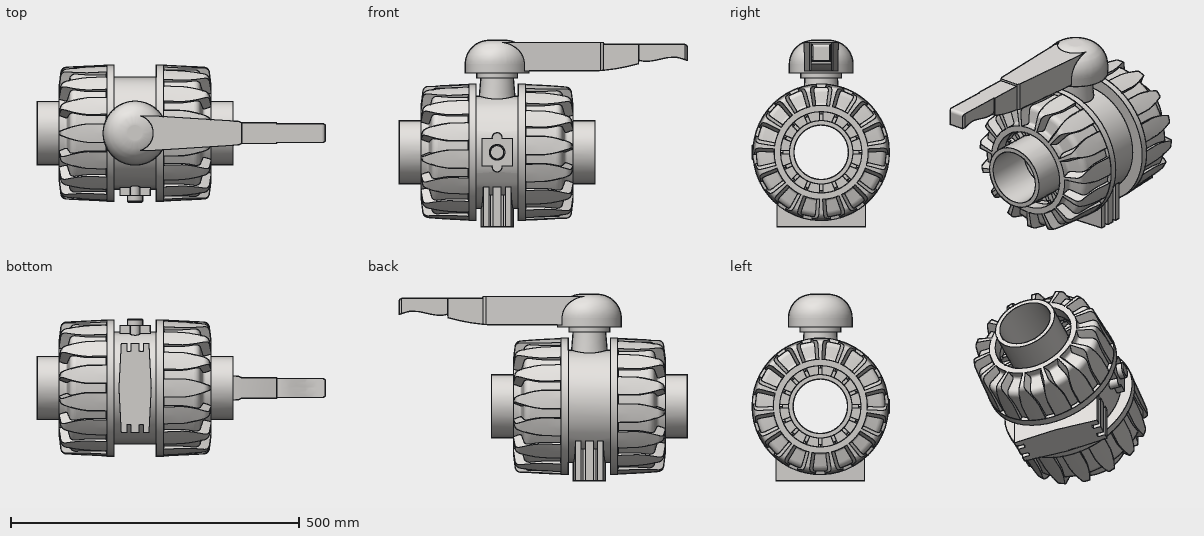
import cadquery as cq
import math


BORE_RADIUS = 47.0
PIPE_RADIUS = 55.0
PIPE_END = 170.0

BODY_RADIUS = 97.5
BODY_HALF_LENGTH = 85.0
NECK_TOP_RADIUS = 28.5
NECK_FOOT_RADIUS = 32.0
NECK_FOOT_Z = 85.0
COLLAR_RADIUS = 35.5
COLLAR_BOTTOM_Z = 128.5
COLLAR_TOP_Z = 137.5

PAD_HALF_WIDTH = 26.5
PAD_HALF_HEIGHT = 23.5
PAD_FACE_Y = -108.5
LUG_RADIUS = 8.5
LUG_CENTER_Z = 25.5
PIN_RADIUS = 13.5
PIN_END_Y = -120.0
PIN_CHAMFER = 2.0

FOOT_BOTTOM_Z = -129.5
FOOT_HALF_DEPTH = 77.0
FOOT_MIDDLE_HALF_WIDTH = 28.0
FOOT_END_HALF_WIDTH = 24.0
GROOVE_INNER_X = 7.0
GROOVE_APEX_X = 11.5
GROOVE_OUTER_X = 14.5
GROOVE_EDGE_Y = 64.0
GROOVE_APEX_Y = 63.0

NUT_INNER_X = 36.5
NUT_FLANGE_RADIUS = 118.5
NUT_FLANGE_END_X = 49.0
NUT_FRONT_X = 132.0
RING_OUTER_RADIUS = 81.5
RING_INNER_RADIUS = 70.5
VALLEY_RADIUS = 112.5
VALLEY_START_X = 50.5
VALLEY_FILLET_X = 102.5
VALLEY_FILLET_RADIUS = 11.0
VALLEY_FRONT_TILT = math.radians(13)
RING_FILLET_RADIUS = 5.0
RIB_COUNT = 15
RIB_BASE_RADIUS = 118.0
RIB_SHOULDER_X = 119.0
RIB_SHOULDER_RADIUS = 114.5
RIB_FILLET_RADIUS = 10.0
RIB_HALF_WIDTH = 16.0
RIB_TAPER_X = 82.5
RIB_WAIST_X = 103.0
RIB_WAIST_HALF_WIDTH = 12.5
RIB_TIP_HALF_WIDTH = 2.5

SEAT_X = 110.0
SPOKE_COUNT = 16
SPOKE_WIDTH = 6.0
SPOKE_OUTER_RADIUS = 66.0
SPOKE_FRONT_X = 108.0
RIDGE_SHOULDER_X = 105.0
RECESS_FLOOR_X = 97.5

HUB_RADIUS = 55.5
DOME_BASE_Z = 152.5
DOME_TOP_Z = 194.5
LEVER_TOP_Z = 190.5
LEVER_BOTTOM_Z = 141.0
GRIP_TOP_Z = 187.5
LEVER_END = 330.0
LEVER_ROOT_HALF_WIDTH = 30.0
LEVER_SHOULDER_HALF_WIDTH = 20.5
SHANK_HALF_WIDTH = 18.0
GRIP_HALF_WIDTH = 16.5
GRIP_END_HALF_WIDTH = 14.0
LEVER_TAPER_X = 30.0
LEVER_SHOULDER_X = 179.5
SHANK_START = 184.5
LEVER_UNDERSIDE_X = 170.0
SHANK_MIDDLE = (216.0, 146.5)
SHANK_END_Z = 153.5
GRIP_START = 245.0
LEVER_STEP_LENGTH = 1.0
GRIP_START_Z = 159.5
GRIP_UNDERSIDE = [(279.5, 160.5), (311.5, 164.5), (322.5, 161.5)]
GRIP_TIP_Z = 159.0
GRIP_TIP_RADIUS = 6.0
GRIP_TIP_CHAMFER = 4.0


def cylinder_x(radius, x_start, x_end):
    """Round bar along X between two X positions."""
    return cq.Workplane("YZ", origin=(x_start, 0, 0)).circle(radius).extrude(x_end - x_start)


def revolve_about_x(profile):
    """Turn an (x, radius) outline once around the X axis."""
    return profile.close().revolve(360, (0, 0, 0), (1, 0, 0))


def make_neck():
    cone = (
        cq.Workplane("XZ")
        .moveTo(0, NECK_FOOT_Z)
        .lineTo(NECK_FOOT_RADIUS, NECK_FOOT_Z)
        .lineTo(NECK_TOP_RADIUS, COLLAR_BOTTOM_Z)
        .lineTo(COLLAR_RADIUS, COLLAR_BOTTOM_Z)
        .lineTo(COLLAR_RADIUS, COLLAR_TOP_Z)
        .lineTo(0, COLLAR_TOP_Z)
        .close()
    )
    return cone.revolve(360, (0, 0, 0), (0, 1, 0))


def make_side_pad():
    pad = cq.Workplane("XZ").rect(2 * PAD_HALF_WIDTH, 2 * PAD_HALF_HEIGHT).extrude(-PAD_FACE_Y)
    lugs = (
        cq.Workplane("XZ")
        .pushPoints([(0, LUG_CENTER_Z), (0, -LUG_CENTER_Z)])
        .circle(LUG_RADIUS)
        .extrude(-PAD_FACE_Y)
    )
    pin = cq.Workplane("XZ").circle(PIN_RADIUS).extrude(-PIN_END_Y).faces("<Y").chamfer(PIN_CHAMFER)
    return pad.union(lugs).union(pin)


def make_foot():
    outline = [
        (FOOT_MIDDLE_HALF_WIDTH, 0),
        (FOOT_END_HALF_WIDTH, FOOT_HALF_DEPTH),
        (-FOOT_END_HALF_WIDTH, FOOT_HALF_DEPTH),
        (-FOOT_MIDDLE_HALF_WIDTH, 0),
        (-FOOT_END_HALF_WIDTH, -FOOT_HALF_DEPTH),
        (FOOT_END_HALF_WIDTH, -FOOT_HALF_DEPTH),
    ]
    foot = cq.Workplane("XY").polyline(outline).close().extrude(FOOT_BOTTOM_Z)
    for x_side in (1, -1):
        for y_side in (1, -1):
            groove_outline = [
                (x_side * GROOVE_INNER_X, y_side * FOOT_HALF_DEPTH),
                (x_side * GROOVE_INNER_X, y_side * GROOVE_EDGE_Y),
                (x_side * GROOVE_APEX_X, y_side * GROOVE_APEX_Y),
                (x_side * GROOVE_OUTER_X, y_side * GROOVE_EDGE_Y),
                (x_side * GROOVE_OUTER_X, y_side * FOOT_HALF_DEPTH),
            ]
            foot = foot.cut(cq.Workplane("XY").polyline(groove_outline).close().extrude(FOOT_BOTTOM_Z))
    return foot


def make_body():
    barrel = cylinder_x(BODY_RADIUS, -BODY_HALF_LENGTH, BODY_HALF_LENGTH)
    body = barrel.union(make_neck()).union(make_side_pad()).union(make_foot())
    return body.cut(cylinder_x(BORE_RADIUS, -BODY_HALF_LENGTH, BODY_HALF_LENGTH))


def make_nut_core():
    """Flange, smooth valley surface and end ring, as one solid of revolution."""
    tilt_sin = math.sin(VALLEY_FRONT_TILT)
    tilt_cos = math.cos(VALLEY_FRONT_TILT)
    front_top_x = VALLEY_FILLET_X + VALLEY_FILLET_RADIUS * tilt_cos
    front_top_radius = VALLEY_RADIUS - VALLEY_FILLET_RADIUS * (1 - tilt_sin)
    front_foot_radius = RING_OUTER_RADIUS + RING_FILLET_RADIUS * (1 - tilt_sin)
    front_foot_x = front_top_x + (front_top_radius - front_foot_radius) * tilt_sin / tilt_cos
    ring_fillet_end_x = front_foot_x + RING_FILLET_RADIUS * tilt_cos
    profile = (
        cq.Workplane("XY")
        .moveTo(-NUT_INNER_X, 0)
        .lineTo(-NUT_INNER_X, NUT_FLANGE_RADIUS)
        .lineTo(-NUT_FLANGE_END_X, NUT_FLANGE_RADIUS)
        .lineTo(-VALLEY_START_X, VALLEY_RADIUS)
        .lineTo(-VALLEY_FILLET_X, VALLEY_RADIUS)
        .radiusArc((-front_top_x, front_top_radius), -VALLEY_FILLET_RADIUS)
        .lineTo(-front_foot_x, front_foot_radius)
        .radiusArc((-ring_fillet_end_x, RING_OUTER_RADIUS), RING_FILLET_RADIUS)
        .lineTo(-NUT_FRONT_X, RING_OUTER_RADIUS)
        .lineTo(-NUT_FRONT_X, 0)
    )
    return revolve_about_x(profile)


def make_nut_ribs():
    """Grip ribs that taper towards the nut front, trimmed to a rounded envelope."""
    fillet_end_x = RIB_SHOULDER_X + RIB_FILLET_RADIUS
    fillet_end_radius = RIB_SHOULDER_RADIUS - RIB_FILLET_RADIUS
    envelope = revolve_about_x(
        cq.Workplane("XY")
        .moveTo(-NUT_INNER_X, 0)
        .lineTo(-NUT_INNER_X, RIB_BASE_RADIUS)
        .lineTo(-NUT_FLANGE_END_X, RIB_BASE_RADIUS)
        .lineTo(-RIB_SHOULDER_X, RIB_SHOULDER_RADIUS)
        .radiusArc((-fillet_end_x, fillet_end_radius), -RIB_FILLET_RADIUS)
        .lineTo(-NUT_FRONT_X, RING_OUTER_RADIUS)
        .lineTo(-NUT_FRONT_X, 0)
    )
    rib = (
        cq.Workplane("XY", origin=(0, 0, RING_INNER_RADIUS))
        .moveTo(-NUT_INNER_X, RIB_HALF_WIDTH)
        .lineTo(-RIB_TAPER_X, RIB_HALF_WIDTH)
        .threePointArc((-RIB_WAIST_X, RIB_WAIST_HALF_WIDTH), (-NUT_FRONT_X, RIB_TIP_HALF_WIDTH))
        .lineTo(-NUT_FRONT_X, -RIB_TIP_HALF_WIDTH)
        .threePointArc((-RIB_WAIST_X, -RIB_WAIST_HALF_WIDTH), (-RIB_TAPER_X, -RIB_HALF_WIDTH))
        .lineTo(-NUT_INNER_X, -RIB_HALF_WIDTH)
        .close()
        .extrude(NUT_FLANGE_RADIUS - RING_INNER_RADIUS)
        .intersect(envelope)
    )
    return [rib.rotate((0, 0, 0), (1, 0, 0), i * 360 / RIB_COUNT) for i in range(RIB_COUNT)]


def make_nut():
    """Union nut on the -X side."""
    nut = make_nut_core()
    for rib in make_nut_ribs():
        nut = nut.union(rib)
    cavity = cylinder_x(BODY_RADIUS, -SEAT_X, -NUT_INNER_X)
    opening = cylinder_x(RING_INNER_RADIUS, -NUT_FRONT_X, -SEAT_X)
    return nut.cut(cavity).cut(opening)


def make_connector():
    """End connector on the -X side: flange, pipe and a crown of spokes with ridged outer ends."""
    flange = cylinder_x(BODY_RADIUS, -SEAT_X, -BODY_HALF_LENGTH)
    recess = cylinder_x(RING_INNER_RADIUS, -SEAT_X, -RECESS_FLOOR_X)
    pipe = cylinder_x(PIPE_RADIUS, -PIPE_END, -BODY_HALF_LENGTH)
    connector = flange.cut(recess).union(pipe)
    half_width = SPOKE_WIDTH / 2
    spoke = (
        cq.Workplane("XY", origin=(0, 0, BORE_RADIUS))
        .moveTo(-RECESS_FLOOR_X, -half_width)
        .lineTo(-SPOKE_FRONT_X, -half_width)
        .lineTo(-SPOKE_FRONT_X, half_width)
        .lineTo(-RECESS_FLOOR_X, half_width)
        .close()
        .extrude(SPOKE_OUTER_RADIUS - BORE_RADIUS)
    )
    ridge = (
        cq.Workplane("XY", origin=(0, 0, BORE_RADIUS))
        .moveTo(-RECESS_FLOOR_X, -half_width)
        .lineTo(-RIDGE_SHOULDER_X, -half_width)
        .lineTo(-SPOKE_FRONT_X, 0)
        .lineTo(-RIDGE_SHOULDER_X, half_width)
        .lineTo(-RECESS_FLOOR_X, half_width)
        .close()
        .extrude(RING_INNER_RADIUS - BORE_RADIUS)
    )
    spoke = spoke.union(ridge)
    for i in range(SPOKE_COUNT):
        connector = connector.union(spoke.rotate((0, 0, 0), (1, 0, 0), i * 360 / SPOKE_COUNT))
    return connector.cut(cylinder_x(BORE_RADIUS, -PIPE_END, -BODY_HALF_LENGTH))


def make_hub():
    dome_radius = DOME_TOP_Z - DOME_BASE_Z
    crown_radius = HUB_RADIUS - dome_radius
    profile = (
        cq.Workplane("XZ")
        .moveTo(0, COLLAR_TOP_Z)
        .lineTo(HUB_RADIUS, COLLAR_TOP_Z)
        .lineTo(HUB_RADIUS, DOME_BASE_Z)
        .radiusArc((crown_radius, DOME_TOP_Z), -dome_radius)
        .lineTo(0, DOME_TOP_Z)
        .close()
    )
    return profile.revolve(360, (0, 0, 0), (0, 1, 0))


def make_lever():
    """Lever arm: the overlap of a side outline and a plan outline."""
    side = (
        cq.Workplane("XZ")
        .moveTo(0, LEVER_BOTTOM_Z)
        .lineTo(0, LEVER_TOP_Z)
        .lineTo(SHANK_START, LEVER_TOP_Z)
        .lineTo(SHANK_START + LEVER_STEP_LENGTH, GRIP_TOP_Z)
        .lineTo(LEVER_END - GRIP_TIP_RADIUS, GRIP_TOP_Z)
        .radiusArc((LEVER_END, GRIP_TOP_Z - GRIP_TIP_RADIUS), GRIP_TIP_RADIUS)
        .lineTo(LEVER_END, GRIP_TIP_Z)
        .spline(
            [*reversed(GRIP_UNDERSIDE), (GRIP_START + LEVER_STEP_LENGTH, GRIP_START_Z)],
            includeCurrent=True,
        )
        .lineTo(GRIP_START, SHANK_END_Z)
        .threePointArc(SHANK_MIDDLE, (LEVER_UNDERSIDE_X, LEVER_BOTTOM_Z))
        .close()
        .extrude(LEVER_ROOT_HALF_WIDTH, both=True)
    )
    half_outline = [
        (0, LEVER_ROOT_HALF_WIDTH),
        (LEVER_TAPER_X, LEVER_ROOT_HALF_WIDTH),
        (LEVER_SHOULDER_X, LEVER_SHOULDER_HALF_WIDTH),
        (SHANK_START, SHANK_HALF_WIDTH),
        (GRIP_START, SHANK_HALF_WIDTH),
        (GRIP_START + LEVER_STEP_LENGTH, GRIP_HALF_WIDTH),
        (LEVER_END - GRIP_TIP_CHAMFER, GRIP_HALF_WIDTH),
        (LEVER_END, GRIP_END_HALF_WIDTH),
    ]
    plan = (
        cq.Workplane("XY")
        .polyline(half_outline + [(x, -y) for x, y in reversed(half_outline)])
        .close()
        .extrude(DOME_TOP_Z)
    )
    return side.intersect(plan)


def make_handle():
    return make_hub().union(make_lever())


def both_ends(part):
    """The part on the -X side and its copy turned half round the Y axis."""
    return [part.rotate((0, 0, 0), (0, 1, 0), angle) for angle in (0, 180)]


body = make_body()
nuts = both_ends(make_nut())
connectors = both_ends(make_connector())
handle = make_handle()

result = cq.Compound.makeCompound(
    [
        body.val(),
        *[nut.val() for nut in nuts],
        *[connector.val() for connector in connectors],
        handle.val(),
    ]
)